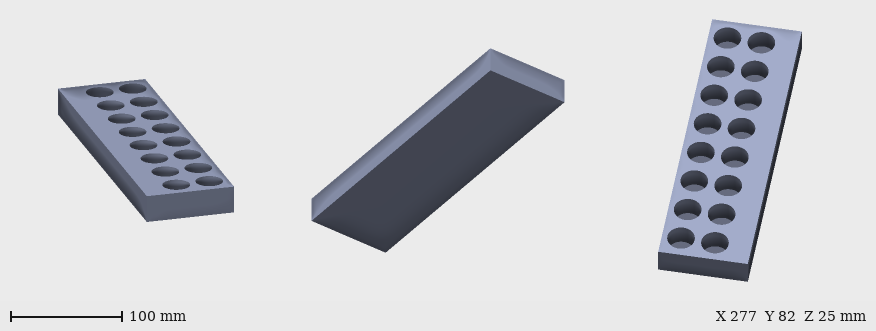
import cadquery as cq

length = 277.0
width = 82.0
height = 25.0

pocket_diameter = 25.0
pocket_depth = 20.0
columns = 8
rows = 2
side_margin = 19.5
row_pitch = 31.0
back_margin = 17.5

column_pitch = (length - 2 * side_margin) / (columns - 1)
first_column_x = side_margin - length / 2
rear_row_y = width / 2 - back_margin


def make_block():
    """Plain block centred on the origin in X and Y, with its base at Z = 0."""
    return cq.Workplane("XY").box(length, width, height, centered=(True, True, False))


def make_pockets():
    """Flat-bottomed cylinders that fill the pockets."""
    centres = [
        (first_column_x + column * column_pitch, rear_row_y - row * row_pitch)
        for row in range(rows)
        for column in range(columns)
    ]
    return (
        cq.Workplane("XY", origin=(0, 0, height - pocket_depth))
        .pushPoints(centres)
        .circle(pocket_diameter / 2)
        .extrude(pocket_depth)
    )


result = make_block().cut(make_pockets())